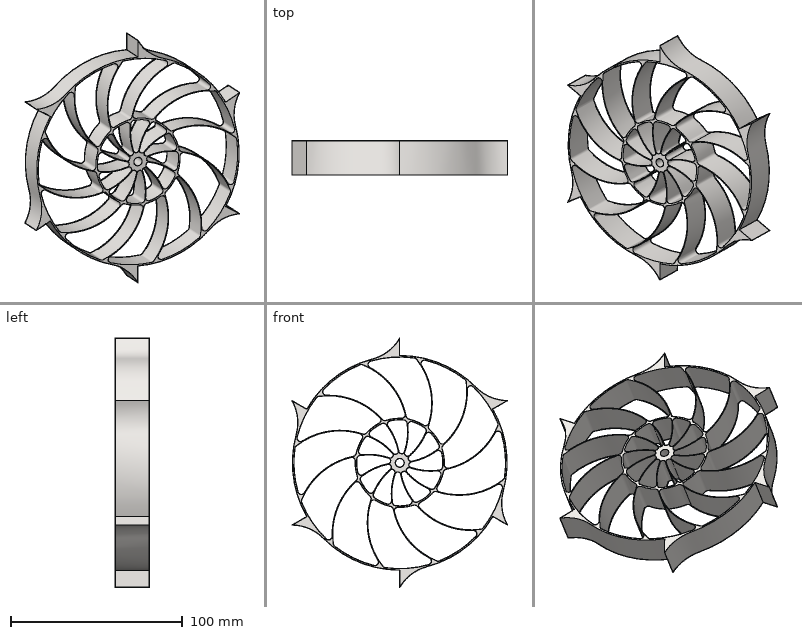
import cadquery as cq
import math

WIDTH = 20.0

BORE_RADIUS = 2.5
HUB_RADIUS = 5.5
RING_INNER_RADIUS = 25.0
RING_OUTER_RADIUS = 26.0
RIM_INNER_RADIUS = 61.5
RIM_OUTER_RADIUS = 62.5

BLADE_COUNT = 12
BLADE_THICKNESS = 0.4
INNER_BLADE_RADIUS = 36.7
INNER_BLADE_ANGLE = 90.5
OUTER_BLADE_RADIUS = 41.5
OUTER_BLADE_ANGLE = 63.2

HUB_FILLET_RADIUS = 1.4
RING_FILLET_RADIUS = 2.0
RIM_FILLET_RADIUS = 2.0

BARB_COUNT = 6
BARB_TIP_RADIUS = 72.5
BARB_BACK_RADIUS = 26.0

HUB_MIDDLE_RADIUS = (BORE_RADIUS + HUB_RADIUS) / 2
RING_MIDDLE_RADIUS = (RING_INNER_RADIUS + RING_OUTER_RADIUS) / 2
RIM_MIDDLE_RADIUS = (RIM_INNER_RADIUS + RIM_OUTER_RADIUS) / 2


def profile_plane():
    """XZ work plane at the +Y face; extrusion runs from there toward -Y."""
    return cq.Workplane("XZ", origin=(0, WIDTH / 2, 0))


def polar(radius, angle):
    """Point at a radius and an angle in degrees measured from +X toward +Z."""
    return (radius * math.cos(math.radians(angle)), radius * math.sin(math.radians(angle)))


def annulus(outer_radius, inner_radius):
    """Full-width tube centred on the axle."""
    return profile_plane().circle(outer_radius).circle(inner_radius).extrude(WIDTH)


def blade(arc_radius, centre_angle, start_radius, end_radius):
    """Thin curved wall following the arc, cut to the span between two radii."""
    centre = polar(arc_radius, centre_angle)
    half_thickness = BLADE_THICKNESS / 2
    wall = (
        profile_plane()
        .center(*centre)
        .circle(arc_radius + half_thickness)
        .circle(arc_radius - half_thickness)
        .extrude(WIDTH)
    )
    far_distance = 2 * arc_radius
    kept_side = (
        profile_plane()
        .moveTo(0, 0)
        .lineTo(*polar(far_distance, centre_angle))
        .lineTo(*polar(far_distance, centre_angle - 45))
        .lineTo(*polar(far_distance, centre_angle - 90))
        .close()
        .extrude(WIDTH)
    )
    return wall.intersect(kept_side).intersect(annulus(end_radius, start_radius))


def barb():
    """Barb with its front face on the +Z axis and its back trailing toward -X."""
    back_centre_distance = RIM_OUTER_RADIUS + BARB_BACK_RADIUS
    lean = math.degrees(
        math.acos(
            (BARB_TIP_RADIUS**2 + back_centre_distance**2 - BARB_BACK_RADIUS**2)
            / (2 * BARB_TIP_RADIUS * back_centre_distance)
        )
    )
    tangent_angle = 90 + lean
    centre_x, centre_z = polar(back_centre_distance, tangent_angle)
    tip_angle = math.degrees(math.atan2(BARB_TIP_RADIUS - centre_z, -centre_x))
    middle_angle = (tip_angle + tangent_angle - 180) / 2
    offset_x, offset_z = polar(BARB_BACK_RADIUS, middle_angle)
    return (
        profile_plane()
        .moveTo(0, RIM_MIDDLE_RADIUS)
        .lineTo(0, BARB_TIP_RADIUS)
        .threePointArc((centre_x + offset_x, centre_z + offset_z), polar(RIM_OUTER_RADIUS, tangent_angle))
        .lineTo(*polar(RIM_MIDDLE_RADIUS, tangent_angle))
        .threePointArc(polar(RIM_MIDDLE_RADIUS, 90 + lean / 2), (0, RIM_MIDDLE_RADIUS))
        .close()
        .extrude(WIDTH)
    )


def joint_edges(body, radius):
    """Edges along Y where blades meet the hub, ring or rim surface of this radius."""
    tolerance = 0.01
    edges = []
    for edge in body.edges("|Y").vals():
        middle = edge.Center()
        if abs(math.hypot(middle.x, middle.z) - radius) < tolerance:
            edges.append(edge)
    return edges


def bare_wheel():
    """Hub, ring, rim, blades and barbs joined together, before filleting."""
    inner_blade = blade(INNER_BLADE_RADIUS, INNER_BLADE_ANGLE, HUB_MIDDLE_RADIUS, RING_MIDDLE_RADIUS)
    outer_blade = blade(OUTER_BLADE_RADIUS, OUTER_BLADE_ANGLE, RING_MIDDLE_RADIUS, RIM_MIDDLE_RADIUS)
    parts = annulus(HUB_RADIUS, BORE_RADIUS)
    parts = parts.add(annulus(RING_OUTER_RADIUS, RING_INNER_RADIUS))
    parts = parts.add(annulus(RIM_OUTER_RADIUS, RIM_INNER_RADIUS))
    for body, count in ((inner_blade, BLADE_COUNT), (outer_blade, BLADE_COUNT), (barb(), BARB_COUNT)):
        for index in range(count):
            parts = parts.add(body.rotate((0, 0, 0), (0, 1, 0), index * 360.0 / count))
    return parts.combine()


def fillet_joints(body, surface_radius, fillet_radius):
    """Round the corners where the blades run into one hub, ring or rim surface."""
    return body.newObject(joint_edges(body, surface_radius)).fillet(fillet_radius)


wheel = bare_wheel()
wheel = fillet_joints(wheel, HUB_RADIUS, HUB_FILLET_RADIUS)
wheel = fillet_joints(wheel, RING_INNER_RADIUS, RING_FILLET_RADIUS)
wheel = fillet_joints(wheel, RING_OUTER_RADIUS, RING_FILLET_RADIUS)
result = fillet_joints(wheel, RIM_INNER_RADIUS, RIM_FILLET_RADIUS)